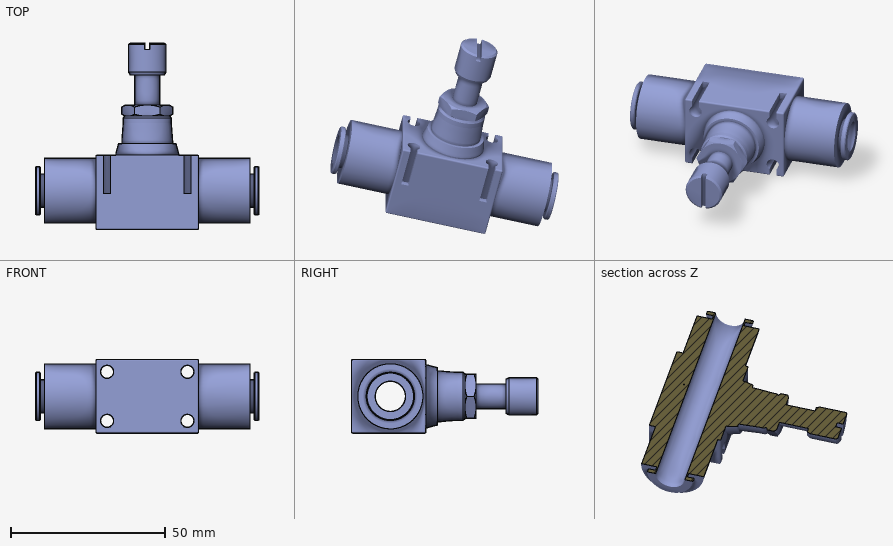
import cadquery as cq
import math

total_length = 72.5
total_width = 60.45

body_length = 33.3
body_height = 23.9
body_front_y = -12.6
body_back_y = 11.5
body_fillet = 0.5

sleeve_span = 66.7
sleeve_diameter = 21.1
collar_radius = 7.8
collar_thickness = 1.6
collar_chamfer = 0.3
collar_neck_radius = 5.4
bore_radius = 4.85

hole_diameter = 4.1
hole_pitch_x = 26.0
hole_pitch_z = 15.9
slot_width = 2.3
slot_length = 12.5

flare_base_radius = 10.2
flare_top_radius = 9.35
bonnet_base_radius = 8.25
bonnet_top_radius = 7.8
bonnet_tip_radius = 7.4
stem_radius = 4.05
knob_radius = 6.1
knob_end_radius = 5.5
flare_base_height = 0.4
flare_top_height = 3.7
bonnet_taper_start = 4.6
bonnet_taper_end = 10.3
bonnet_chamfer_start = 11.95
nut_base_height = 12.6
knob_base_height = 25.9
knob_base_chamfer = 1.1
knob_top_chamfer = 0.5
screw_height = total_width - (body_back_y - body_front_y)

nut_corner_radius = 8.25
nut_flat_radius = nut_corner_radius * math.cos(math.pi / 6)
nut_thickness = 3.6
nut_chamfer_height = 0.65
nut_top_height = nut_base_height + nut_thickness

driver_slot_width = 1.6
driver_slot_depth = 2.0


def make_body():
    body_width = body_back_y - body_front_y
    block = cq.Workplane("XY").box(body_length, body_width, body_height)
    block = block.edges().fillet(body_fillet)
    return block.translate((0, (body_back_y + body_front_y) / 2, 0))


def revolve_about_x(points):
    return cq.Workplane("XY").polyline(points).close().revolve(360, (0, 0, 0), (1, 0, 0))


def revolve_about_y(points):
    """Revolve a (radius, height) outline standing on the back face of the body."""
    plane = cq.Workplane("XY", origin=(0, body_back_y, 0))
    return plane.polyline(points).close().revolve(360, (0, 0, 0), (0, 1, 0))


def make_port():
    """Sleeve and flanged collar on the +X side, starting at the body centre."""
    sleeve_end = sleeve_span / 2
    sleeve_radius = sleeve_diameter / 2
    collar_end = total_length / 2
    collar_start = collar_end - collar_thickness
    return revolve_about_x([
        (0, 0),
        (0, sleeve_radius),
        (sleeve_end, sleeve_radius),
        (sleeve_end, collar_neck_radius),
        (collar_start, collar_neck_radius),
        (collar_start, collar_radius - collar_chamfer),
        (collar_start + collar_chamfer, collar_radius),
        (collar_end - collar_chamfer, collar_radius),
        (collar_end, collar_radius - collar_chamfer),
        (collar_end, 0),
    ])


def make_screw():
    """Flared base, bonnet, stem and knob as one turned shape."""
    screw = revolve_about_y([
        (0, 0),
        (flare_base_radius, 0),
        (flare_base_radius, flare_base_height),
        (flare_top_radius, flare_top_height),
        (bonnet_base_radius, flare_top_height),
        (bonnet_base_radius, bonnet_taper_start),
        (bonnet_top_radius, bonnet_taper_end),
        (bonnet_top_radius, bonnet_chamfer_start),
        (bonnet_tip_radius, nut_base_height),
        (stem_radius, nut_base_height),
        (stem_radius, knob_base_height),
        (knob_end_radius, knob_base_height),
        (knob_radius, knob_base_height + knob_base_chamfer),
        (knob_radius, screw_height - knob_top_chamfer),
        (knob_end_radius, screw_height),
        (0, screw_height),
    ])
    driver_slot = cq.Workplane("XY").box(driver_slot_width, 2 * driver_slot_depth, 2 * knob_radius)
    return screw.cut(driver_slot.translate((0, body_back_y + screw_height, 0)))


def make_nut():
    """Hexagon with corners on the X axis, turned down to the flats at both ends."""
    hexagon = (
        cq.Workplane("XZ", origin=(0, body_back_y + nut_top_height, 0))
        .polygon(6, 2 * nut_corner_radius)
        .extrude(nut_thickness)
    )
    turned_blank = revolve_about_y([
        (0, nut_base_height),
        (nut_flat_radius, nut_base_height),
        (nut_corner_radius, nut_base_height + nut_chamfer_height),
        (nut_corner_radius, nut_top_height - nut_chamfer_height),
        (nut_flat_radius, nut_top_height),
        (0, nut_top_height),
    ])
    return hexagon.intersect(turned_blank)


def make_mounting_holes():
    return (
        cq.Workplane("XZ", origin=(0, body_back_y, 0))
        .rarray(hole_pitch_x, hole_pitch_z, 2, 2)
        .circle(hole_diameter / 2)
        .extrude(body_back_y - body_front_y)
    )


def make_hole_slots():
    """Slots from the hole axes out through the top and bottom faces at the back."""
    slot_depth = (body_height - hole_pitch_z) / 2
    slot_centre_z = (body_height + hole_pitch_z) / 4
    return (
        cq.Workplane("XZ", origin=(0, body_back_y, 0))
        .rarray(hole_pitch_x, 2 * slot_centre_z, 2, 2)
        .rect(slot_width, slot_depth)
        .extrude(slot_length)
    )


port = make_port()
bore = cq.Workplane("YZ").circle(bore_radius).extrude(total_length / 2, both=True)

result = (
    make_body()
    .union(port)
    .union(port.mirror("YZ"))
    .union(make_screw())
    .union(make_nut())
    .cut(bore)
    .cut(make_mounting_holes())
    .cut(make_hole_slots())
)